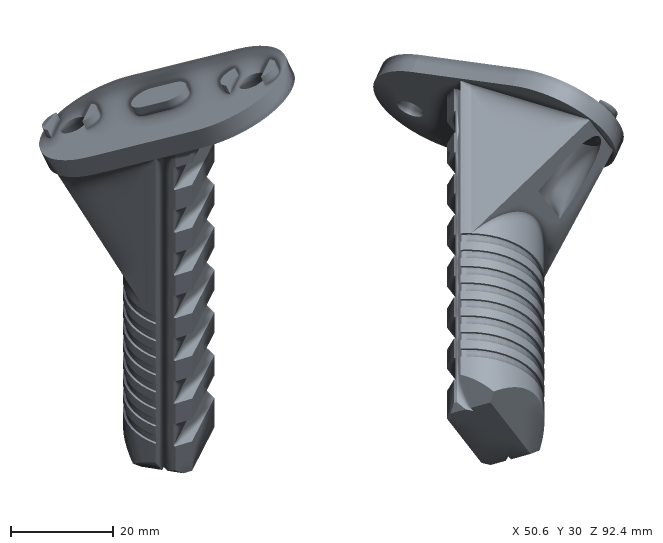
import cadquery as cq
import math


grip_radius = 15.0
grip_axis_x = 5.0
rough_height = 120.0

groove_radius = 14.5
groove_width = 2.0
groove_pitch = 4.0
groove_count = 8
groove_start_z = 9.2

front_bevel_x = -4.25
side_bevel_y = 9.3

rail_half_width = 10.6
rail_land_start = 2.4
rail_land_end = 3.05
rail_top_x = 5.7
slot_depth = 3.0
slot_width = 5.23
slot_pitch = 10.01
slot_count = 7
slot_start_z = 6.9

plate_tilt = 25.0
plate_center_x = -2.5
plate_center_z = 79.58
plate_length = 54.0
plate_width = 2 * grip_radius
plate_thickness = 4.0

hole_diameter = 5.6
hole_offset = 20.0
key_length = 12.0
key_width = 7.0
key_height = 2.0
key_gap = 7.8

pocket_diameter = 10.0
pocket_offset = 20.3
pocket_depth = 21.0

wedge_root_x = -2.0
wedge_root_z = groove_start_z + (groove_count - 1) * groove_pitch + groove_width
wedge_root_half_width = math.sqrt(grip_radius**2 - (grip_axis_x - wedge_root_x) ** 2)
wedge_tip_x = -23.7
wedge_tip_z = 65.0
wedge_tip_half_width = 5.5


plate_plane = cq.Plane(
    origin=(plate_center_x, 0, plate_center_z),
    xDir=(math.cos(math.radians(plate_tilt)), 0, math.sin(math.radians(plate_tilt))),
    normal=(-math.sin(math.radians(plate_tilt)), 0, math.cos(math.radians(plate_tilt))),
)


def half_cylinder(radius, bottom_z, height):
    """Vertical cylinder about the grip axis, keeping only what lies in front of the flat back."""
    cylinder = cq.Workplane("XY", origin=(grip_axis_x, 0, bottom_z)).circle(radius).extrude(height)
    front_space = cq.Workplane("XY", origin=(-radius, 0, bottom_z)).box(
        2 * radius, 2 * radius, height, centered=(True, True, False)
    )
    return cylinder.intersect(front_space)


def make_grip():
    grip = half_cylinder(grip_radius, 0, rough_height)
    for i in range(groove_count):
        z = groove_start_z + i * groove_pitch
        band = half_cylinder(grip_radius, z, groove_width)
        core = half_cylinder(groove_radius, z, groove_width)
        grip = grip.cut(band.cut(core))
    return grip


def make_rail():
    neck_half_width = rail_half_width - rail_land_start
    top_half_width = rail_half_width - (rail_top_x - rail_land_end)
    half_profile = [
        (0, neck_half_width),
        (rail_land_start, rail_half_width),
        (rail_land_end, rail_half_width),
        (rail_top_x, top_half_width),
    ]
    mirrored = [(x, -y) for x, y in reversed(half_profile)]
    rail = cq.Workplane("XY").polyline(half_profile + mirrored).close().extrude(rough_height)
    for i in range(slot_count):
        slot = cq.Workplane("XY", origin=(rail_top_x, 0, slot_start_z + i * slot_pitch)).box(
            2 * slot_depth, 2 * rail_half_width, slot_width, centered=(True, True, False)
        )
        rail = rail.cut(slot)
    return rail


def make_wedge():
    """Tapered column with a sloping underside, running up past the plate."""
    column = (
        cq.Workplane("XY")
        .moveTo(0, -wedge_root_half_width)
        .lineTo(wedge_root_x, -wedge_root_half_width)
        .lineTo(wedge_tip_x, -wedge_tip_half_width)
        .lineTo(wedge_tip_x, wedge_tip_half_width)
        .lineTo(wedge_root_x, wedge_root_half_width)
        .lineTo(0, wedge_root_half_width)
        .close()
        .extrude(rough_height)
    )
    side_outline = (
        cq.Workplane("XZ")
        .moveTo(0, wedge_root_z)
        .lineTo(wedge_root_x, wedge_root_z)
        .lineTo(wedge_tip_x, wedge_tip_z)
        .lineTo(wedge_tip_x, rough_height)
        .lineTo(0, rough_height)
        .close()
        .extrude(grip_radius, both=True)
    )
    return column.intersect(side_outline)


def bevel_foot(body):
    front = (
        cq.Workplane("XZ")
        .moveTo(front_bevel_x, 0)
        .lineTo(front_bevel_x - grip_radius, grip_radius)
        .lineTo(front_bevel_x - grip_radius, 0)
        .close()
        .extrude(grip_radius, both=True)
    )
    side = (
        cq.Workplane("YZ")
        .moveTo(side_bevel_y, 0)
        .lineTo(side_bevel_y + grip_radius, grip_radius)
        .lineTo(side_bevel_y + grip_radius, 0)
        .close()
        .extrude(grip_radius, both=True)
    )
    return body.cut(front).cut(side).cut(side.mirror("XZ"))


def trim_under_plate(body):
    """Remove everything above the middle of the plate thickness."""
    above = (
        cq.Workplane(plate_plane)
        .workplane(offset=-plate_thickness / 2)
        .rect(2 * rough_height, 2 * rough_height)
        .extrude(rough_height)
    )
    return body.cut(above)


def make_plate():
    return cq.Workplane(plate_plane).slot2D(plate_length, plate_width).extrude(-plate_thickness)


def make_key(offset):
    return cq.Workplane(plate_plane).center(offset, 0).slot2D(key_length, key_width).extrude(key_height)


def make_split_key(offset):
    """Key centred on a screw hole, with its middle removed to clear the screw."""
    key = make_key(offset)
    gap = cq.Workplane(plate_plane).center(offset, 0).rect(key_gap, key_width).extrude(key_height)
    return key.cut(gap)


def make_screw_hole(offset):
    return cq.Workplane(plate_plane).center(offset, 0).circle(hole_diameter / 2).extrude(-plate_thickness)


def make_pocket():
    return (
        cq.Workplane(plate_plane)
        .workplane(offset=-plate_thickness)
        .center(-pocket_offset, 0)
        .circle(pocket_diameter / 2)
        .extrude(plate_thickness - pocket_depth)
    )


body = make_grip().union(make_wedge()).union(make_rail())
body = trim_under_plate(bevel_foot(body)).cut(make_pocket())
body = body.union(make_plate()).union(make_key(0))
for side in (-1, 1):
    body = body.union(make_split_key(side * hole_offset)).cut(make_screw_hole(side * hole_offset))

result = body